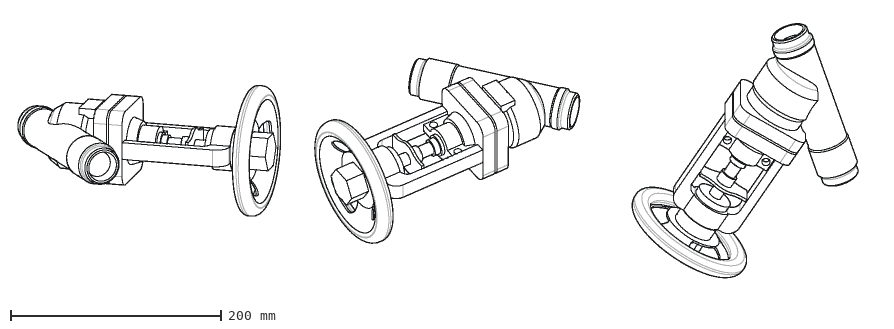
import cadquery as cq
import math

STEM_ANGLE = 50.0

PIPE_LENGTH = 160.5
PIPE_LEFT_X = -40.6
PIPE_R = 19.2
COLLAR_R = 20.0
SPIGOT_R = 17.9
SPIGOT_CHAMFER = 1.5
SPIGOT_LENGTH = 8.2
SPIGOT_FILLET_RUN = 2.0
SPIGOT_FILLET_RISE = 0.9
SHOULDER = 11.3
LEFT_COLLAR_END = 17.2
RIGHT_COLLAR_END = 39.5
COLLAR_STEP = 1.5
BORE_MOUTH_R = 14.4
BORE_FLOOR_R = 12.4
BORE_DEPTH = 10.0

BODY_R = 31.5
BODY_NECK_R = 29.1
BODY_EDGE_R = 26.3
BODY_EDGE_Y = 4.5
BODY_CONE_TOP_Y = 12.5
BODY_SHOULDER_Y = 36.9
BODY_NECK_Y = 41.3
BODY_BOTTOM_ARC_R = 11.0

PAD_WIDTH = 33.1
PAD_BOTTOM_Y = 31.8
PAD_TOP_Y = 47.7
PAD_TOP_Z = 33.1

FLANGE_SIDE = 72.9
FLANGE_CORNER_R = 11.0
BODY_FLANGE_Y = 52.0
BODY_FLANGE_TOP_Y = 64.7
BONNET_FLANGE_Y = 66.7
BONNET_FLANGE_TOP_Y = 80.4
GASKET_R = 28.3

BONNET_CONE_BASE_R = 22.7
BONNET_CONE_TOP_R = 19.5
BONNET_CONE_TOP_Y = 89.9
BONNET_R = 16.0
BONNET_TOP_Y = 107.0
GLAND_R = 10.5
GLAND_TOP_Y = 110.5
GLAND_NUT_R = 8.5
GLAND_NUT_TOP_Y = 116.4
STEM_R = 6.2
STEM_COLLAR_R = 8.2
STEM_COLLAR_Y = 130.3

PLATE_Y = 140.0
PLATE_THICKNESS = 2.9
PLATE_HALF_LENGTH = 25.8
PLATE_HALF_WIDTH = 10.5
PLATE_CREST = 17.2
PLATE_CREST_RUN = 9.3
PLATE_BULGE_RUN = 21.0

YOKE_THICKNESS = 16.5
YOKE_HALF_WIDTH = 36.0
YOKE_OPENING_HALF_WIDTH = 27.0
YOKE_OPENING_TOP_Y = 163.0
YOKE_TOP_Y = 182.5
YOKE_OUTER_R = 12.4
YOKE_INNER_R = 8.8
YOKE_BOSS_R = 21.0
BUSH_R = 17.5
BUSH_BOTTOM_Y = 156.5
SLEEVE_R = 19.9
LUG_THICKNESS = 8.8
LUG_HOLE_D = 7.5
LUG_HOLE_X = 21.6
LUG_HOLE_Y = 99.4

WHEEL_R = 62.5
RIM_INNER_R = 45.5
WHEEL_BOTTOM_Y = 195.9
WHEEL_TOP_Y = 211.0
RIM_LOWER_FILLET = 4.9
RIM_UPPER_FILLET = 8.2
HUB_R = 29.4
WEB_R = 49.7
WEB_RISE = 12.4
WEB_THICKNESS = 2.0
SPOKE_COUNT = 3
WINDOW_HALF_ANGLE = 32.0
WINDOW_INNER_R = 28.7
WINDOW_OUTER_R = 42.8
WINDOW_CORNER_R = 6.5
NUT_ACROSS_CORNERS = 37.0
NUT_TOP_Y = 217.0


def disc(radius, bottom_y, top_y):
    """Round solid on the stem axis."""
    return cq.Workplane("XZ", origin=(0, bottom_y, 0)).circle(radius).extrude(bottom_y - top_y)


def revolve_on_stem(profile):
    return profile.close().revolve(360, (0, 0, 0), (0, 1, 0))


def polar(radius, degrees):
    angle = math.radians(degrees)
    return radius * math.cos(angle), radius * math.sin(angle)


def pipe_end(collar_end):
    """End of the pipe from x = 0 inward: chamfered spigot, fillet, shoulder and collar."""
    return (
        cq.Workplane("XY")
        .lineTo(0, SPIGOT_R - SPIGOT_CHAMFER)
        .lineTo(SPIGOT_CHAMFER, SPIGOT_R)
        .lineTo(SPIGOT_LENGTH, SPIGOT_R)
        .tangentArcPoint((SPIGOT_FILLET_RUN, SPIGOT_FILLET_RISE))
        .lineTo(SHOULDER, COLLAR_R)
        .lineTo(collar_end, COLLAR_R)
        .lineTo(collar_end + COLLAR_STEP, PIPE_R)
        .lineTo(PIPE_LENGTH / 2, PIPE_R)
        .lineTo(PIPE_LENGTH / 2, 0)
        .close()
        .revolve(360, (0, 0, 0), (1, 0, 0))
    )


def bore():
    """Tapered blind recess in a pipe end."""
    return (
        cq.Workplane("XY")
        .polyline([(0, 0), (0, BORE_MOUTH_R), (BORE_DEPTH, BORE_FLOOR_R), (BORE_DEPTH, 0)])
        .close()
        .revolve(360, (0, 0, 0), (1, 0, 0))
    )


def place_pipe_ends(left, right):
    """Left end solid in place, joined with the right one turned round to the other end."""
    turned = right.rotate((0, 0, 0), (0, 0, 1), 180).translate((PIPE_LENGTH, 0, 0))
    return left.union(turned).translate((PIPE_LEFT_X, 0, 0))


def body():
    """Round body with a coned, rounded bottom and a flat raised pad on its +Z side."""
    cone_angle = math.atan2(BODY_R - BODY_EDGE_R, BODY_CONE_TOP_Y - BODY_EDGE_Y)
    floor_r = BODY_EDGE_R - BODY_BOTTOM_ARC_R * math.cos(cone_angle)
    floor_y = BODY_EDGE_Y - BODY_BOTTOM_ARC_R * (1 - math.sin(cone_angle))
    shell = revolve_on_stem(
        cq.Workplane("XY")
        .moveTo(0, BODY_FLANGE_Y)
        .lineTo(BODY_NECK_R, BODY_FLANGE_Y)
        .lineTo(BODY_NECK_R, BODY_NECK_Y)
        .lineTo(BODY_R, BODY_SHOULDER_Y)
        .lineTo(BODY_R, BODY_CONE_TOP_Y)
        .lineTo(BODY_EDGE_R, BODY_EDGE_Y)
        .tangentArcPoint((floor_r, floor_y), relative=False)
        .lineTo(0, floor_y)
    )
    pad_height = PAD_TOP_Y - PAD_BOTTOM_Y
    pad = (
        cq.Workplane("XY")
        .center(0, PAD_BOTTOM_Y + pad_height / 2)
        .rect(PAD_WIDTH, pad_height)
        .extrude(PAD_TOP_Z)
    )
    return shell.union(pad)


def flange(bottom_y, top_y):
    """Square flange with rounded corners."""
    return (
        cq.Workplane("XZ", origin=(0, bottom_y, 0))
        .rect(FLANGE_SIDE, FLANGE_SIDE)
        .extrude(bottom_y - top_y)
        .edges("|Y")
        .fillet(FLANGE_CORNER_R)
    )


def bonnet():
    """Both flanges with the gasket between them, and the coned bonnet above."""
    cone = revolve_on_stem(
        cq.Workplane("XY")
        .moveTo(0, BONNET_FLANGE_TOP_Y)
        .lineTo(BONNET_CONE_BASE_R, BONNET_FLANGE_TOP_Y)
        .lineTo(BONNET_CONE_TOP_R, BONNET_CONE_TOP_Y)
        .lineTo(0, BONNET_CONE_TOP_Y)
    )
    return (
        flange(BODY_FLANGE_Y, BODY_FLANGE_TOP_Y)
        .union(disc(GASKET_R, BODY_FLANGE_TOP_Y, BONNET_FLANGE_Y))
        .union(flange(BONNET_FLANGE_Y, BONNET_FLANGE_TOP_Y))
        .union(cone)
        .union(disc(BONNET_R, BONNET_CONE_TOP_Y, BONNET_TOP_Y))
    )


def stem():
    return (
        disc(GLAND_R, BONNET_TOP_Y, GLAND_TOP_Y)
        .union(disc(GLAND_NUT_R, GLAND_TOP_Y, GLAND_NUT_TOP_Y))
        .union(disc(STEM_R, GLAND_NUT_TOP_Y, BUSH_BOTTOM_Y))
        .union(disc(STEM_COLLAR_R, STEM_COLLAR_Y, PLATE_Y))
    )


def indicator_plate():
    """Plate across the stem whose long sides swell smoothly to a rounded crest."""
    concave_share = 1 - PLATE_CREST_RUN / PLATE_BULGE_RUN
    turn_z = PLATE_HALF_WIDTH + (PLATE_CREST - PLATE_HALF_WIDTH) * concave_share
    half = (
        cq.Workplane("XZ", origin=(0, PLATE_Y, 0))
        .moveTo(-PLATE_HALF_LENGTH, 0)
        .lineTo(-PLATE_HALF_LENGTH, PLATE_HALF_WIDTH)
        .lineTo(-PLATE_BULGE_RUN, PLATE_HALF_WIDTH)
        .tangentArcPoint((-PLATE_CREST_RUN, turn_z), relative=False)
        .threePointArc((0, PLATE_CREST), (PLATE_CREST_RUN, turn_z))
        .tangentArcPoint((PLATE_BULGE_RUN, PLATE_HALF_WIDTH), relative=False)
        .lineTo(PLATE_HALF_LENGTH, PLATE_HALF_WIDTH)
        .lineTo(PLATE_HALF_LENGTH, 0)
        .close()
        .extrude(-PLATE_THICKNESS)
    )
    return half.union(half.mirror("XY"))


def slab_on_flange(half_width, top_y, thickness):
    """Upright slab standing on the bonnet flange, centred on Z = 0."""
    height = top_y - BONNET_FLANGE_TOP_Y
    return (
        cq.Workplane("XY")
        .box(2 * half_width, height, thickness)
        .translate((0, BONNET_FLANGE_TOP_Y + height / 2, 0))
    )


def arch(half_width, top_y, corner_r):
    """Slab of the yoke thickness with both top corners rounded."""
    return slab_on_flange(half_width, top_y, YOKE_THICKNESS).edges("|Z and >Y").fillet(corner_r)


def yoke():
    """Arched frame with drilled lugs at its foot and the stem bush, boss and sleeve at its top."""
    frame = arch(YOKE_HALF_WIDTH, YOKE_TOP_Y, YOKE_OUTER_R).cut(
        arch(YOKE_OPENING_HALF_WIDTH, YOKE_OPENING_TOP_Y, YOKE_INNER_R)
    )
    lugs = slab_on_flange(YOKE_OPENING_HALF_WIDTH, BONNET_TOP_Y, LUG_THICKNESS)
    holes = (
        cq.Workplane("XY")
        .pushPoints([(-LUG_HOLE_X, LUG_HOLE_Y), (LUG_HOLE_X, LUG_HOLE_Y)])
        .circle(LUG_HOLE_D / 2)
        .extrude(LUG_THICKNESS, both=True)
    )
    return (
        frame.union(lugs.cut(holes))
        .union(disc(BUSH_R, BUSH_BOTTOM_Y, YOKE_OPENING_TOP_Y))
        .union(disc(YOKE_BOSS_R, YOKE_OPENING_TOP_Y, YOKE_TOP_Y))
        .union(disc(SLEEVE_R, YOKE_TOP_Y, WHEEL_BOTTOM_Y))
    )


def rim():
    ring = disc(WHEEL_R, WHEEL_BOTTOM_Y, WHEEL_TOP_Y).cut(disc(RIM_INNER_R, WHEEL_BOTTOM_Y, WHEEL_TOP_Y))
    return ring.faces("<Y").edges().fillet(RIM_LOWER_FILLET).faces(">Y").edges().fillet(RIM_UPPER_FILLET)


def window():
    """Opening between two spokes, centred on +X, with rounded corners."""
    return (
        cq.Workplane("XZ", origin=(0, WHEEL_BOTTOM_Y, 0))
        .moveTo(*polar(WINDOW_INNER_R, -WINDOW_HALF_ANGLE))
        .threePointArc((WINDOW_INNER_R, 0), polar(WINDOW_INNER_R, WINDOW_HALF_ANGLE))
        .lineTo(*polar(WINDOW_OUTER_R, WINDOW_HALF_ANGLE))
        .threePointArc((WINDOW_OUTER_R, 0), polar(WINDOW_OUTER_R, -WINDOW_HALF_ANGLE))
        .close()
        .extrude(WHEEL_BOTTOM_Y - WHEEL_TOP_Y)
        .edges("|Y")
        .fillet(WINDOW_CORNER_R)
    )


def handwheel():
    """Rim carried by a thin dished web with three openings, clamped under a hexagon nut."""
    web_inner_y = WHEEL_BOTTOM_Y + WEB_THICKNESS
    web = revolve_on_stem(
        cq.Workplane("XY")
        .moveTo(0, WHEEL_BOTTOM_Y)
        .lineTo(HUB_R, WHEEL_BOTTOM_Y)
        .lineTo(WEB_R, WHEEL_BOTTOM_Y + WEB_RISE)
        .lineTo(WEB_R, web_inner_y + WEB_RISE)
        .lineTo(HUB_R, web_inner_y)
        .lineTo(0, web_inner_y)
    )
    for spoke in range(SPOKE_COUNT):
        middle = (spoke + 0.5) * 360 / SPOKE_COUNT
        web = web.cut(window().rotate((0, 0, 0), (0, 1, 0), middle))
    nut = (
        cq.Workplane("XZ", origin=(0, WHEEL_BOTTOM_Y, 0))
        .polygon(6, NUT_ACROSS_CORNERS)
        .extrude(WHEEL_BOTTOM_Y - NUT_TOP_Y)
    )
    return rim().union(web).union(nut)


stem_parts = body()
for part in (bonnet(), stem(), indicator_plate(), yoke(), handwheel()):
    stem_parts = stem_parts.union(part)
stem_parts = stem_parts.rotate((0, 0, 0), (0, 0, 1), STEM_ANGLE - 90)

pipe = place_pipe_ends(pipe_end(LEFT_COLLAR_END), pipe_end(RIGHT_COLLAR_END))
result = pipe.union(stem_parts).cut(place_pipe_ends(bore(), bore()))